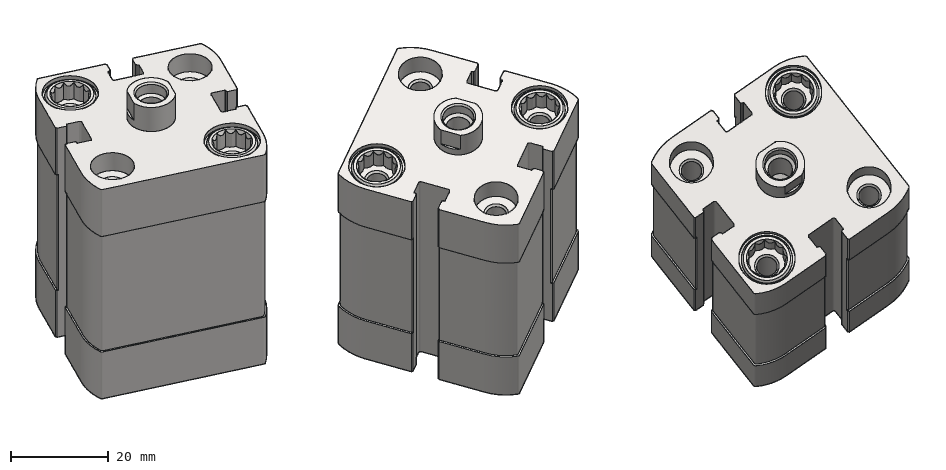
import cadquery as cq
import math

total_height = 60.3
body_width = 39.5
rod_projection = 6.2
body_height = total_height - rod_projection
cap_height = 12.1
barrel_inset = 0.35

corner_arc_diameter = 25.0
corner_edge_fillet = 0.6

slot_mouth_width = 5.5
slot_inner_width = 6.75
slot_depth = 5.7
slot_lip_depth = 2.55
slot_lip_fillet = 0.25
slot_floor_fillet = 0.4
slot_angles = (0, 180, 270)

hole_spacing = 26.0
hole_offset = hole_spacing / 2
hole_diameter = 4.15
countersink_diameter = 5.0
seat_depth = 4.65
counterbore_diameter = 9.0

groove_outer_diameter = 11.5
groove_inner_diameter = 10.5
groove_depth = 0.95
collar_drop = 0.25
collar_top_diameter = 9.65
socket_mouth_diameter = 8.4
socket_mouth_depth = 0.85
socket_tip_diameter = 7.5
socket_root_diameter = 8.2
socket_tooth_count = 12
socket_tooth_tip_width = 0.6
socket_first_tooth_angle = math.radians(45)

rod_diameter = 10.0
rod_seat_depth = cap_height
rod_flat_width = 9.05
rod_flat_height = 4.4
rod_bore_mouth_diameter = 7.1
rod_bore_diameter = 6.4
rod_bore_mouth_depth = 0.35
rod_bore_depth = 2.65
rod_tap_diameter = 4.95
rod_tap_cone_depth = 0.4
rod_tap_depth = 12.05
drill_tip_angle = 118.0


def cylinder(diameter, top, depth):
    """Cylinder on the Z axis, going down from `top`."""
    return cq.Workplane("XY", origin=(0, 0, top - depth)).circle(diameter / 2).extrude(depth)


def cone(top_diameter, bottom_diameter, top, depth):
    """Cone on the Z axis, going down from `top`."""
    base = cq.Vector(0, 0, top - depth)
    return cq.Workplane(cq.Solid.makeCone(bottom_diameter / 2, top_diameter / 2, depth, base))


def profile_block(inset, bottom, height):
    """Square block, every side moved in by `inset`, with its Y sides curving in to the corners."""
    half = body_width / 2 - inset
    radius = corner_arc_diameter / 2 - inset
    arc_run = half - hole_offset

    def arc_y(run):
        return half - radius + math.sqrt(radius**2 - run**2)

    mid_x = hole_offset + arc_run / 2
    mid_y = arc_y(arc_run / 2)
    corner_y = arc_y(arc_run)
    block = (
        cq.Workplane("XY", origin=(0, 0, bottom))
        .moveTo(-hole_offset, half)
        .lineTo(hole_offset, half)
        .threePointArc((mid_x, mid_y), (half, corner_y))
        .lineTo(half, -corner_y)
        .threePointArc((mid_x, -mid_y), (hole_offset, -half))
        .lineTo(-hole_offset, -half)
        .threePointArc((-mid_x, -mid_y), (-half, -corner_y))
        .lineTo(-half, corner_y)
        .threePointArc((-mid_x, mid_y), (-hole_offset, half))
        .close()
        .extrude(height)
    )
    return block.edges("|Z and (<X or >X)").fillet(corner_edge_fillet)


def slot_cutter(inset, bottom, height):
    """T-slot in the -Y side of a block moved in by `inset`, with rounded lips and floor corners."""
    face_y = inset - body_width / 2
    lip_y = slot_lip_depth - body_width / 2
    floor_y = slot_depth - body_width / 2
    mouth_x = slot_mouth_width / 2
    inner_x = slot_inner_width / 2
    round_over = slot_lip_fillet
    flare_x = mouth_x + round_over
    slot = (
        cq.Workplane("XY", origin=(0, 0, bottom))
        .moveTo(-flare_x, face_y)
        .radiusArc((-mouth_x, face_y + round_over), round_over)
        .lineTo(-mouth_x, lip_y - round_over)
        .radiusArc((-flare_x, lip_y), round_over)
        .lineTo(-inner_x, lip_y)
        .lineTo(-inner_x, floor_y)
        .lineTo(inner_x, floor_y)
        .lineTo(inner_x, lip_y)
        .lineTo(flare_x, lip_y)
        .radiusArc((mouth_x, lip_y - round_over), round_over)
        .lineTo(mouth_x, face_y + round_over)
        .radiusArc((flare_x, face_y), round_over)
        .close()
        .extrude(height)
    )
    return slot.edges("|Z and >Y").fillet(slot_floor_fillet)


def slotted_section(inset, bottom, height):
    """One length of the housing with its three T-slots."""
    section = profile_block(inset, bottom, height)
    slot = slot_cutter(inset, bottom, height)
    for angle in slot_angles:
        section = section.cut(slot.rotate((0, 0, 0), (0, 0, 1), angle))
    return section


def through_hole_cutter():
    """Hole through the full height, countersunk at the seat."""
    seat = body_height - seat_depth
    countersink_depth = (countersink_diameter - hole_diameter) / 2
    hole = cylinder(hole_diameter, seat, seat)
    return hole.union(cone(countersink_diameter, hole_diameter, seat, countersink_depth))


def collar_groove_cutter():
    """Ring groove round the collar, with the collar's outer edge chamfered."""
    chamfer = (groove_inner_diameter - collar_top_diameter) / 2
    collar_top = body_height - collar_drop
    collar = cylinder(groove_inner_diameter, collar_top, groove_depth - collar_drop)
    collar = collar.faces(">Z").chamfer(chamfer)
    return cylinder(groove_outer_diameter, body_height, groove_depth).cut(collar)


def socket_cutter():
    """Toothed socket with a chamfered mouth."""
    tip_radius = socket_tip_diameter / 2
    root_radius = socket_root_diameter / 2
    half_tip_angle = math.asin(socket_tooth_tip_width / 2 / tip_radius)
    pitch = 2 * math.pi / socket_tooth_count
    points = []
    for tooth in range(socket_tooth_count):
        angle = socket_first_tooth_angle + tooth * pitch
        for radius, turn in (
            (tip_radius, -half_tip_angle),
            (tip_radius, half_tip_angle),
            (root_radius, pitch / 2),
        ):
            points.append((radius * math.cos(angle + turn), radius * math.sin(angle + turn)))
    floor = body_height - seat_depth
    socket = cq.Workplane("XY", origin=(0, 0, floor)).polyline(points).close().extrude(seat_depth)
    collar_top = body_height - collar_drop
    mouth = cone(socket_mouth_diameter, socket_tip_diameter, collar_top, socket_mouth_depth)
    return socket.union(mouth)


def build_housing():
    """Barrel between two caps, with the corner holes and the bore for the rod."""
    barrel_height = body_height - 2 * cap_height
    housing = (
        slotted_section(0, 0, cap_height)
        .union(slotted_section(barrel_inset, cap_height, barrel_height))
        .union(slotted_section(0, body_height - cap_height, cap_height))
    )
    for side_x in (-1, 1):
        for side_y in (-1, 1):
            cutters = [through_hole_cutter()]
            if side_x == side_y:
                cutters += [collar_groove_cutter(), socket_cutter()]
            else:
                cutters.append(cylinder(counterbore_diameter, body_height, seat_depth))
            for cutter in cutters:
                housing = housing.cut(cutter.translate((side_x * hole_offset, side_y * hole_offset, 0)))
    return housing.cut(cylinder(rod_diameter, body_height, rod_seat_depth))


def build_rod():
    """Piston rod with two wrench flats and a tapped end."""
    rod = cylinder(rod_diameter, total_height, rod_projection + rod_seat_depth)
    flats = (
        cq.Workplane("XY", origin=(0, 0, total_height - rod_flat_height))
        .rect(rod_diameter, rod_diameter)
        .rect(rod_diameter, rod_flat_width)
        .extrude(rod_flat_height)
    )
    bore_floor = total_height - rod_bore_depth
    tap_end = total_height - rod_tap_depth
    tip_depth = rod_tap_diameter / 2 / math.tan(math.radians(drill_tip_angle / 2))
    return (
        rod.cut(flats)
        .cut(cone(rod_bore_mouth_diameter, rod_bore_diameter, total_height, rod_bore_mouth_depth))
        .cut(cylinder(rod_bore_diameter, total_height, rod_bore_depth))
        .cut(cone(rod_bore_diameter, rod_tap_diameter, bore_floor, rod_tap_cone_depth))
        .cut(cylinder(rod_tap_diameter, total_height, rod_tap_depth))
        .cut(cone(rod_tap_diameter, 0, tap_end, tip_depth))
    )


housing = build_housing()
rod = build_rod()
result = cq.Compound.makeCompound([housing.val(), rod.val()])